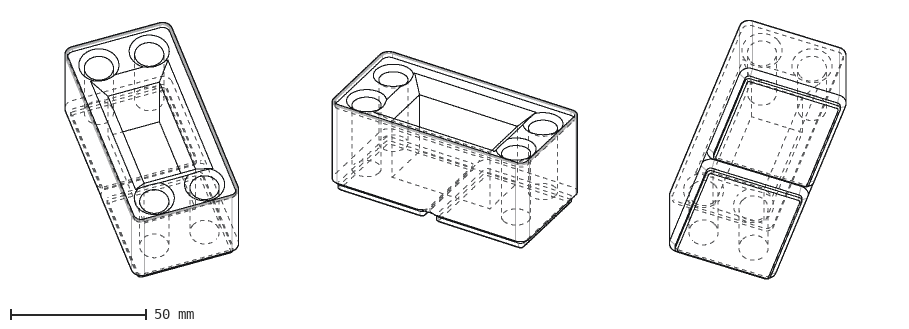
import cadquery as cq

cell_pitch = 42.0
cell_count = 2
cell_corner_radius = 4.0
foot_lower_chamfer = 0.8
foot_wall_height = 1.8
foot_upper_chamfer = 2.4
foot_height = foot_lower_chamfer + foot_wall_height + foot_upper_chamfer

side_clearance = 0.25
body_length = cell_count * cell_pitch - 2 * side_clearance
body_width = cell_pitch - 2 * side_clearance
body_corner_radius = cell_corner_radius - side_clearance
body_height = 39.0

rim_height = 2.0
rim_thickness = 1.0
rim_fillet = 0.3
deck_height = body_height - rim_height

floor_height = 7.0

pocket_length = 41.7
pocket_width = 20.0
pocket_chamfer = 5.0

hole_diameter = 10.75
hole_chamfer = 2.0
hole_spacing_x = 63.75
hole_spacing_y = 19.55


def rounded_block(length, width, radius, bottom, height):
    """Upright rounded rectangle centred on the Z axis."""
    block = cq.Workplane("XY").workplane(offset=bottom).rect(length, width).extrude(height)
    return block.edges("|Z").fillet(radius)


def make_foot(center_x):
    """One stepped foot, widening to the full cell size at its top."""
    waist = cell_pitch - 2 * foot_upper_chamfer
    waist_radius = cell_corner_radius - foot_upper_chamfer
    waist_height = foot_lower_chamfer + foot_wall_height
    upper_height = 2 * foot_upper_chamfer
    lower = rounded_block(waist, waist, waist_radius, 0, waist_height)
    lower = lower.faces("<Z").chamfer(foot_lower_chamfer)
    upper = rounded_block(cell_pitch, cell_pitch, cell_corner_radius, waist_height, upper_height)
    upper = upper.faces("<Z").chamfer(foot_upper_chamfer)
    return lower.union(upper).translate((center_x, 0, 0))


def make_body():
    """Feet joined to the upper block, trimmed to the clearance outline."""
    body = rounded_block(
        body_length, body_width, body_corner_radius, foot_height, body_height - foot_height
    )
    outline = rounded_block(body_length, body_width, body_corner_radius, 0, body_height)
    for cell in range(cell_count):
        center_x = (cell - (cell_count - 1) / 2) * cell_pitch
        body = body.union(make_foot(center_x).intersect(outline))
    return body


def cut_rim_recess(body):
    """Lower the deck inside a thin rim and round both top edges of the rim."""
    recess = rounded_block(
        body_length - 2 * rim_thickness,
        body_width - 2 * rim_thickness,
        body_corner_radius - rim_thickness,
        deck_height,
        rim_height,
    )
    return body.cut(recess).faces(">Z").edges().fillet(rim_fillet)


def cut_pocket(body):
    """Rectangular pocket with four 45 degree entry slopes."""
    shaft = (
        cq.Workplane("XY")
        .workplane(offset=floor_height)
        .rect(pocket_length, pocket_width)
        .extrude(deck_height - floor_height)
    )
    entry = (
        cq.Workplane("XY")
        .workplane(offset=deck_height - pocket_chamfer)
        .rect(pocket_length, pocket_width)
        .workplane(offset=pocket_chamfer)
        .rect(pocket_length + 2 * pocket_chamfer, pocket_width + 2 * pocket_chamfer)
        .loft(ruled=True)
    )
    return body.cut(shaft).cut(entry)


def cut_holes(body):
    """Round blind pockets with conical entries at the four corners."""
    hole_radius = hole_diameter / 2
    cutter = (
        cq.Workplane("XZ")
        .moveTo(0, floor_height)
        .lineTo(hole_radius, floor_height)
        .lineTo(hole_radius, deck_height - hole_chamfer)
        .lineTo(hole_radius + hole_chamfer, deck_height)
        .lineTo(0, deck_height)
        .close()
        .revolve(360, (0, 0), (0, 1))
    )
    for side_x in (-1, 1):
        for side_y in (-1, 1):
            position = (side_x * hole_spacing_x / 2, side_y * hole_spacing_y / 2, 0)
            body = body.cut(cutter.translate(position))
    return body


result = cut_holes(cut_pocket(cut_rim_recess(make_body())))